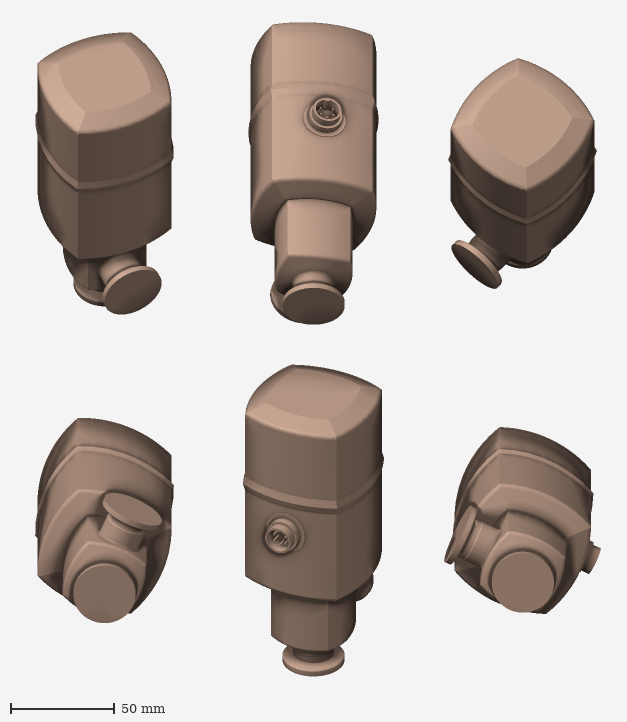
import cadquery as cq
import math

OVERALL_HEIGHT = 152.0

HOUSING_WIDTH = 60.0
HOUSING_SIDE_RADIUS = 59.6
HOUSING_BOTTOM = 50.5
TOP_SLOPE_RUN = 9.9
BOTTOM_SLOPE_RUN = 10.6
HOUSING_SLOPE = math.tan(math.radians(20.0))
HOUSING_ROUNDING = 2.3
BAND_WIDTH = 62.2
BAND_MIDDLE = 108.2
BAND_HALF_HEIGHT = 4.0

VALVE_WIDTH = 37.2
VALVE_SIDE_RADIUS = 38.2
VALVE_SLOPE = math.tan(math.radians(22.0))
CONE_START = 16.4
VALVE_ROUNDING = 2.0

FLANGE_RADIUS = 15.0
FLANGE_RIM = 3.0
FLANGE_SLOPE = math.tan(math.radians(15.0))
FLANGE_ROUNDING = 0.8
NECK_RADIUS = 9.9
COLLAR_RADIUS = 10.2
NECK_END = 7.8
COLLAR_START = 8.2
BOTTOM_PORT_FILLET = 1.2
SIDE_PORT_FILLET = 1.5
SIDE_PORT_END = 35.0
SIDE_PORT_HEIGHT = 30.2

CONNECTOR_HEIGHT = 90.1
CONNECTOR_TIP = 38.6
SHELL_RADIUS = 6.8
COLLAR_END = 34.2
CONNECTOR_COLLAR_RADIUS = 8.0
WASHER_END = 30.4
WASHER_RADIUS = 10.3
WASHER_SEAT = 28.9
SOCKET_RADIUS = 5.8
SOCKET_DEPTH = 7.6
KEY_BASE_WIDTH = 2.3
KEY_TIP_WIDTH = 1.4
KEY_INNER_RADIUS = 5.0
PIN_RADIUS = 0.5
PIN_CIRCLE_RADIUS = 3.5
PIN_LENGTH = 6.1
PIN_ANGLES = [30, 150, 210, 270, 330]


def common_of_four_sides(side):
    """The part shared by four copies of a round solid, turned in quarters about Z."""
    body = side
    for turn in (90, 180, 270):
        body = body.intersect(side.rotate((0, 0, 0), (0, 0, 1), turn))
    return body


def revolve_side(points, side_radius, width):
    """Revolve a (radius, height) outline about the upright axis of the +X side's bulge."""
    axis_x = width / 2 - side_radius
    return (
        cq.Workplane("XZ")
        .polyline(points)
        .close()
        .revolve(360, (0, 0, 0), (0, 1, 0))
        .rotate((0, 0, 0), (0, 0, 1), 180)
        .translate((axis_x, 0, 0))
    )


def make_housing():
    radius = HOUSING_SIDE_RADIUS
    shell = revolve_side(
        [
            (0, HOUSING_BOTTOM),
            (radius - BOTTOM_SLOPE_RUN, HOUSING_BOTTOM),
            (radius, HOUSING_BOTTOM + BOTTOM_SLOPE_RUN * HOUSING_SLOPE),
            (radius, OVERALL_HEIGHT - TOP_SLOPE_RUN * HOUSING_SLOPE),
            (radius - TOP_SLOPE_RUN, OVERALL_HEIGHT),
            (0, OVERALL_HEIGHT),
        ],
        radius,
        HOUSING_WIDTH,
    )
    shell = shell.edges("%CIRCLE").edges(cq.selectors.RadiusNthSelector(-1)).fillet(HOUSING_ROUNDING)

    band_radius = radius + (BAND_WIDTH - HOUSING_WIDTH) / 2
    band = revolve_side(
        [
            (0, BAND_MIDDLE - BAND_HALF_HEIGHT),
            (radius, BAND_MIDDLE - BAND_HALF_HEIGHT),
            (band_radius, BAND_MIDDLE),
            (radius, BAND_MIDDLE + BAND_HALF_HEIGHT),
            (0, BAND_MIDDLE + BAND_HALF_HEIGHT),
        ],
        radius,
        HOUSING_WIDTH,
    )
    housing = common_of_four_sides(shell).union(common_of_four_sides(band))

    seat = connector_disc(WASHER_RADIUS, WASHER_SEAT, CONNECTOR_TIP)
    return housing.cut(seat)


def fillet_edge_at(body, point, radius):
    """Fillet the curved edge that passes closest to a point."""
    target = cq.Vertex.makeVertex(*point)
    curved_edges = body.edges("not %LINE").vals()
    edge = min(curved_edges, key=target.distance)
    return body.newObject([edge]).fillet(radius)


def make_port(length):
    """Flanged neck along +Z with its flange face at the origin."""
    cone_top = FLANGE_RIM + (FLANGE_RADIUS - NECK_RADIUS) * FLANGE_SLOPE
    port = (
        cq.Workplane("XZ")
        .polyline(
            [
                (0, 0),
                (FLANGE_RADIUS, 0),
                (FLANGE_RADIUS, FLANGE_RIM),
                (NECK_RADIUS, cone_top),
                (NECK_RADIUS, NECK_END),
                (COLLAR_RADIUS, COLLAR_START),
                (COLLAR_RADIUS, length),
                (0, length),
            ]
        )
        .close()
        .revolve(360, (0, 0, 0), (0, 1, 0))
    )
    rim_corner = (FLANGE_RADIUS, 0, FLANGE_RIM)
    return fillet_edge_at(port, rim_corner, FLANGE_ROUNDING)


def make_valve_body():
    column = common_of_four_sides(
        revolve_side(
            [
                (0, 0),
                (VALVE_SIDE_RADIUS, 0),
                (VALVE_SIDE_RADIUS, HOUSING_BOTTOM),
                (0, HOUSING_BOTTOM),
            ],
            VALVE_SIDE_RADIUS,
            VALVE_WIDTH,
        )
    )

    cone_end = CONE_START - (VALVE_WIDTH / 2 - COLLAR_RADIUS) * VALVE_SLOPE
    outer_radius = VALVE_WIDTH
    cone = (
        cq.Workplane("XZ")
        .polyline(
            [
                (0, cone_end),
                (COLLAR_RADIUS, cone_end),
                (outer_radius, cone_end + (outer_radius - COLLAR_RADIUS) * VALVE_SLOPE),
                (outer_radius, HOUSING_BOTTOM),
                (0, HOUSING_BOTTOM),
            ]
        )
        .close()
        .revolve(360, (0, 0, 0), (0, 1, 0))
    )
    body = column.intersect(cone)
    body = body.faces("%CONE").edges("not(%CIRCLE)").fillet(VALVE_ROUNDING)

    body = body.union(make_port(cone_end))
    bottom_root = (-COLLAR_RADIUS, 0, cone_end)
    body = fillet_edge_at(body, bottom_root, BOTTOM_PORT_FILLET)

    side_port = make_port(SIDE_PORT_END).rotate((0, 0, 0), (0, 1, 0), -90)
    side_port = side_port.translate((SIDE_PORT_END, 0, SIDE_PORT_HEIGHT))
    body = body.union(side_port)
    side_root = (VALVE_WIDTH / 2, 0, SIDE_PORT_HEIGHT + COLLAR_RADIUS)
    return fillet_edge_at(body, side_root, SIDE_PORT_FILLET)


def connector_disc(radius, start, end):
    """Round disc on the connector's axis between two distances from the housing's middle."""
    return (
        cq.Workplane("YZ", origin=(-start, 0, CONNECTOR_HEIGHT))
        .circle(radius)
        .extrude(start - end)
    )


def make_connector():
    connector = connector_disc(WASHER_RADIUS, WASHER_SEAT, WASHER_END)
    connector = connector.union(connector_disc(CONNECTOR_COLLAR_RADIUS, WASHER_END, COLLAR_END))
    connector = connector.union(connector_disc(SHELL_RADIUS, COLLAR_END, CONNECTOR_TIP))

    socket_floor = CONNECTOR_TIP - SOCKET_DEPTH
    connector = connector.cut(connector_disc(SOCKET_RADIUS, socket_floor, CONNECTOR_TIP))
    key = (
        cq.Workplane("YZ", origin=(-socket_floor, 0, CONNECTOR_HEIGHT))
        .polyline(
            [
                (-KEY_TIP_WIDTH / 2, KEY_INNER_RADIUS),
                (KEY_TIP_WIDTH / 2, KEY_INNER_RADIUS),
                (KEY_BASE_WIDTH / 2, SOCKET_RADIUS),
                (-KEY_BASE_WIDTH / 2, SOCKET_RADIUS),
            ]
        )
        .close()
        .extrude(-SOCKET_DEPTH)
    )
    connector = connector.union(key)

    for angle in PIN_ANGLES:
        pin_y = PIN_CIRCLE_RADIUS * math.cos(math.radians(angle))
        pin_z = PIN_CIRCLE_RADIUS * math.sin(math.radians(angle))
        pin = connector_disc(PIN_RADIUS, socket_floor, socket_floor + PIN_LENGTH)
        connector = connector.union(pin.translate((0, pin_y, pin_z)))
    return connector


housing = make_housing()
valve_body = make_valve_body()
connector = make_connector()

result = cq.Compound.makeCompound([housing.val(), valve_body.val(), connector.val()])